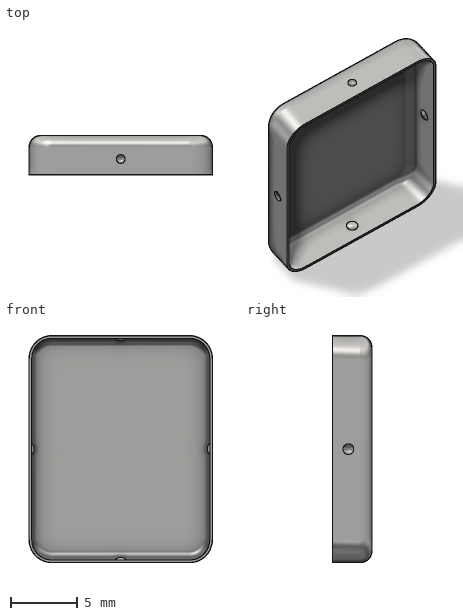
import cadquery as cq

width = 13.9
depth = 3.0
height = 17.2
wall = 0.2
corner_radius = 1.74
floor_edge_radius = 0.9

bump_setback = 1.2
bump_radius = 0.58
bump_height = 0.19
end_dent_radius = 0.38
side_dent_radius = 0.45


def rounded_block(size_x, size_z, radius, length, edge_radius):
    """Block from the rim plane toward +Y with rounded corners and back edge."""
    block = cq.Workplane("XZ").rect(size_x, size_z).extrude(-length)
    block = block.edges("|Y").fillet(radius)
    return block.faces(">Y").edges().fillet(edge_radius)


outer = rounded_block(width, height, corner_radius, depth, floor_edge_radius)
cavity = rounded_block(
    width - 2 * wall,
    height - 2 * wall,
    corner_radius - wall,
    depth - wall,
    floor_edge_radius - wall,
)
tray = outer.cut(cavity)


def wall_sphere(radius, distance, turn):
    """Sphere at a distance along +X, turned about Y so its seam faces away from the tray."""
    sphere = cq.Workplane("XY").sphere(radius).translate((distance, bump_setback, 0))
    return sphere.rotate((0, 0, 0), (0, 1, 0), turn)


center_offset = bump_radius - bump_height - wall
side_distance = width / 2 + center_offset
end_distance = height / 2 + center_offset
bump_places = [
    (0, side_distance, side_dent_radius),
    (90, end_distance, end_dent_radius),
    (180, side_distance, side_dent_radius),
    (270, end_distance, end_dent_radius),
]

for turn, distance, dent_radius in bump_places:
    bump = wall_sphere(bump_radius, distance, turn).intersect(outer)
    dent = wall_sphere(dent_radius, distance, turn)
    tray = tray.union(bump).cut(dent)

result = tray